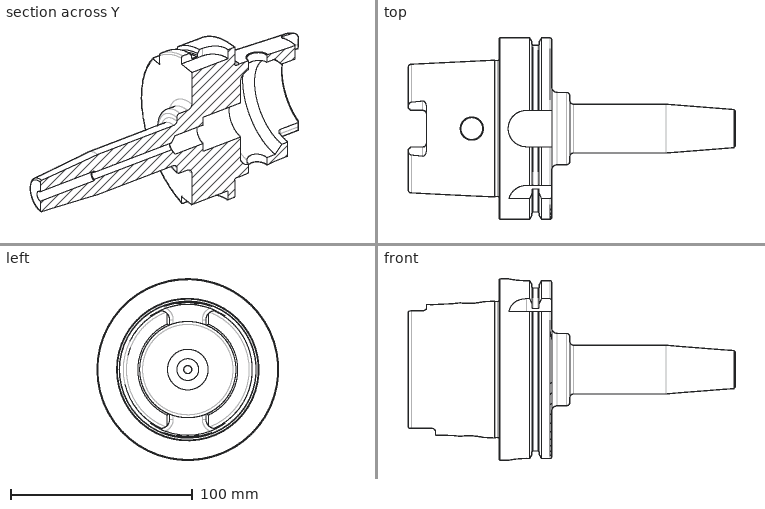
import cadquery as cq
import math


shank_length = 50.0
mouth_radius = 35.4
taper_end_radius = 75.42 / 2
mouth_rounding = 1.7
taper_end_x = -2.6
neck_radius = 37.5
neck_start_x = -1.9
face_recess_radius = 39.2
face_recess_depth = 0.4
neck_root_fillet = 1.3

flange_radius = 50.0
flange_length = 29.0
flange_front_chamfer = 0.5
flange_back_rounding = 1.0
groove_center_x = 20.1
groove_mouth_width = 6.5
groove_floor_width = 4.0
groove_floor_radius = 46.0
groove_floor_fillet = 0.6
groove_flank_angle = 30.0

collar_radius = 20.0
collar_end_x = 39.0
collar_root_fillet = 3.0
collar_rounding = 2.0
stem_radius = 27.0 / 2
stem_root_fillet = 2.0
nose_end_x = 130.0
nose_tip_radius = 21.0 / 2
nose_half_angle = 4.5
nose_chamfer = 0.8

bore_radius = 53.0 / 2
bore_mouth_chamfer = 1.0
bore_end_x = -31.0
clamp_radius = 63.0 / 2
clamp_cone_angle = 48.0
floor_x = -3.6
floor_fillet = 6.6

tube_thread_radius = 22.38 / 2
tube_thread_depth = 25.0
feed_radius = 12.0 / 2
feed_end_x = 40.0
drill_point_half_angle = 59.0
coolant_radius = 4.3 / 2
tool_radius = 6.0 / 2
tool_depth = 36.0

access_hole_diameter = 12.0
access_hole_chamfer = 0.4
access_hole_x = -15.0
key_half_width = 10.0
key_shoulder_height = 32.4
key_shoulder_rounding = 5.0
key_floor_fillet = 2.0
key_mouth_chamfer = 1.4
upper_key_depth = 10.0
lower_key_depth = 15.0
drive_slot_radius = 10.0
drive_slot_center_x = 15.0
drive_slot_floor_height = 44.0
notch_cutter_radius = 10.0
notch_center_x = 15.0
notch_wall_y = -31.3
notch_floor_z = 31.9

clearance = 10.0
edge_margin = 0.1


def arc_middle(center_x, center_radius, radius, x_sign, radial_sign):
    """Middle point of a quarter-circle arc that bulges toward the given signs."""
    offset = radius * math.sqrt(0.5)
    return center_x + x_sign * offset, center_radius + radial_sign * offset


def turned_body():
    """Solid outer shape, revolved about X."""
    mouth_x = -shank_length
    taper_slope = (taper_end_radius - mouth_radius) / (taper_end_x - mouth_x)
    rounding_end_radius = mouth_radius + taper_slope * mouth_rounding
    groove_chamfer = (groove_mouth_width - groove_floor_width) / 2
    groove_wall_radius = flange_radius - groove_chamfer / math.tan(math.radians(groove_flank_angle))
    groove_mouth_start = groove_center_x - groove_mouth_width / 2
    groove_mouth_end = groove_center_x + groove_mouth_width / 2
    groove_floor_start = groove_center_x - groove_floor_width / 2
    groove_floor_end = groove_center_x + groove_floor_width / 2
    nose_slope = math.tan(math.radians(nose_half_angle))
    nose_length = (stem_radius - nose_tip_radius) / nose_slope
    nose_chamfer_radius = nose_tip_radius + nose_slope * nose_chamfer

    mouth_middle = arc_middle(mouth_x + mouth_rounding, rounding_end_radius - mouth_rounding,
                              mouth_rounding, -1, 1)
    groove_fillet_radius = groove_floor_radius + groove_floor_fillet
    groove_left_middle = arc_middle(groove_floor_start + groove_floor_fillet, groove_fillet_radius,
                                    groove_floor_fillet, -1, -1)
    groove_right_middle = arc_middle(groove_floor_end - groove_floor_fillet, groove_fillet_radius,
                                     groove_floor_fillet, 1, -1)
    neck_middle = arc_middle(face_recess_depth - neck_root_fillet, neck_radius + neck_root_fillet,
                             neck_root_fillet, 1, -1)
    back_middle = arc_middle(flange_length - flange_back_rounding, flange_radius - flange_back_rounding,
                             flange_back_rounding, 1, 1)
    root_middle = arc_middle(flange_length + collar_root_fillet, collar_radius + collar_root_fillet,
                             collar_root_fillet, -1, -1)
    collar_middle = arc_middle(collar_end_x - collar_rounding, collar_radius - collar_rounding,
                               collar_rounding, 1, 1)
    stem_middle = arc_middle(collar_end_x + stem_root_fillet, stem_radius + stem_root_fillet,
                             stem_root_fillet, -1, -1)

    profile = (
        cq.Workplane("XY")
        .moveTo(mouth_x, 0)
        .lineTo(mouth_x, rounding_end_radius - mouth_rounding)
        .threePointArc(mouth_middle, (mouth_x + mouth_rounding, rounding_end_radius))
        .lineTo(taper_end_x, taper_end_radius)
        .lineTo(neck_start_x, neck_radius)
        .lineTo(face_recess_depth - neck_root_fillet, neck_radius)
        .threePointArc(neck_middle, (face_recess_depth, neck_radius + neck_root_fillet))
        .lineTo(0, face_recess_radius)
        .lineTo(0, flange_radius - flange_front_chamfer)
        .lineTo(flange_front_chamfer, flange_radius)
        .lineTo(groove_mouth_start, flange_radius)
        .lineTo(groove_floor_start, groove_wall_radius)
        .lineTo(groove_floor_start, groove_floor_radius + groove_floor_fillet)
        .threePointArc(groove_left_middle, (groove_floor_start + groove_floor_fillet, groove_floor_radius))
        .lineTo(groove_floor_end - groove_floor_fillet, groove_floor_radius)
        .threePointArc(groove_right_middle, (groove_floor_end, groove_floor_radius + groove_floor_fillet))
        .lineTo(groove_floor_end, groove_wall_radius)
        .lineTo(groove_mouth_end, flange_radius)
        .lineTo(flange_length - flange_back_rounding, flange_radius)
        .threePointArc(back_middle, (flange_length, flange_radius - flange_back_rounding))
        .lineTo(flange_length, collar_radius + collar_root_fillet)
        .threePointArc(root_middle, (flange_length + collar_root_fillet, collar_radius))
        .lineTo(collar_end_x - collar_rounding, collar_radius)
        .threePointArc(collar_middle, (collar_end_x, collar_radius - collar_rounding))
        .lineTo(collar_end_x, stem_radius + stem_root_fillet)
        .threePointArc(stem_middle, (collar_end_x + stem_root_fillet, stem_radius))
        .lineTo(nose_end_x - nose_length, stem_radius)
        .lineTo(nose_end_x - nose_chamfer, nose_chamfer_radius)
        .lineTo(nose_end_x, nose_tip_radius - nose_chamfer)
        .lineTo(nose_end_x, 0)
        .close()
    )
    return profile.revolve(360, (0, 0, 0), (1, 0, 0))


def inner_cavity():
    """Clamping bore of the shank and the passage through to the tool bore, revolved about X."""
    mouth_x = -shank_length
    clamp_cone_end_x = bore_end_x + (clamp_radius - bore_radius) / math.tan(math.radians(clamp_cone_angle))
    floor_fillet_middle = arc_middle(floor_x - floor_fillet, clamp_radius - floor_fillet, floor_fillet, 1, 1)
    thread_end_x = floor_x + tube_thread_depth
    drill_point_length = (feed_radius - coolant_radius) / math.tan(math.radians(drill_point_half_angle))
    tool_bore_start_x = nose_end_x - tool_depth
    profile = (
        cq.Workplane("XY")
        .moveTo(mouth_x, 0)
        .lineTo(mouth_x, bore_radius + bore_mouth_chamfer)
        .lineTo(mouth_x + bore_mouth_chamfer, bore_radius)
        .lineTo(bore_end_x, bore_radius)
        .lineTo(clamp_cone_end_x, clamp_radius)
        .lineTo(floor_x - floor_fillet, clamp_radius)
        .threePointArc(floor_fillet_middle, (floor_x, clamp_radius - floor_fillet))
        .lineTo(floor_x, tube_thread_radius)
        .lineTo(thread_end_x, tube_thread_radius)
        .lineTo(thread_end_x, feed_radius)
        .lineTo(feed_end_x, feed_radius)
        .lineTo(feed_end_x + drill_point_length, coolant_radius)
        .lineTo(tool_bore_start_x, coolant_radius)
        .lineTo(tool_bore_start_x, tool_radius)
        .lineTo(nose_end_x, tool_radius)
        .lineTo(nose_end_x, 0)
        .close()
    )
    return profile.revolve(360, (0, 0, 0), (1, 0, 0))


def key_slot(depth):
    """Cutter for the key slot across the +Z side of the shank mouth."""
    outside = mouth_radius + clearance
    mouth_x = -shank_length
    floor = mouth_x + depth
    rounded_y = key_half_width + key_shoulder_rounding
    tangent_z = key_shoulder_height - key_shoulder_rounding
    arc_offset = key_shoulder_rounding * math.sqrt(0.5)
    arc_middle_y = rounded_y - arc_offset
    arc_middle_z = tangent_z + arc_offset
    cutter = (
        cq.Workplane("YZ", origin=(mouth_x - clearance, 0, 0))
        .moveTo(-key_half_width, 0)
        .lineTo(-key_half_width, tangent_z)
        .threePointArc((-arc_middle_y, arc_middle_z), (-rounded_y, key_shoulder_height))
        .lineTo(-outside, key_shoulder_height)
        .lineTo(-outside, outside)
        .lineTo(outside, outside)
        .lineTo(outside, key_shoulder_height)
        .lineTo(rounded_y, key_shoulder_height)
        .threePointArc((arc_middle_y, arc_middle_z), (key_half_width, tangent_z))
        .lineTo(key_half_width, 0)
        .close()
        .extrude(depth + clearance)
    )
    floor_walls = cq.selectors.BoxSelector(
        (floor - edge_margin, -rounded_y, edge_margin),
        (floor + edge_margin, rounded_y, key_shoulder_height - edge_margin),
    )
    cutter = cutter.edges(floor_walls).fillet(key_floor_fillet)
    chamfer_half_width = key_half_width + key_mouth_chamfer
    mouth_chamfer = (
        cq.Workplane("XY")
        .moveTo(mouth_x, -chamfer_half_width)
        .lineTo(mouth_x, chamfer_half_width)
        .lineTo(mouth_x + key_mouth_chamfer, key_half_width)
        .lineTo(mouth_x + key_mouth_chamfer, -key_half_width)
        .close()
        .extrude(outside)
    )
    return cutter.union(mouth_chamfer)


def access_hole():
    """Radial hole through both walls of the shank, along Z."""
    return (
        cq.Workplane("XY", origin=(access_hole_x, 0, -flange_radius))
        .circle(access_hole_diameter / 2)
        .extrude(2 * flange_radius)
    )


def chamfer_access_hole(body):
    """Break the two outer rims of the access hole."""
    reach = access_hole_diameter / 2 + access_hole_chamfer
    for side in (-1, 1):
        heights = sorted((side * (clamp_radius + mouth_radius) / 2, side * flange_radius))
        rim = cq.selectors.BoxSelector(
            (access_hole_x - reach, -reach, heights[0]), (access_hole_x + reach, reach, heights[1])
        )
        body = body.edges(rim).chamfer(access_hole_chamfer)
    return body


def drive_slot():
    """Round-ended cutter for the flat-floored drive slot on the +Z side of the flange."""
    return round_ended_cutter(drive_slot_center_x, 0, drive_slot_radius, drive_slot_floor_height)


def orientation_notch():
    """Cutter for the notch on the -Y, +Z side of the flange."""
    center_y = notch_wall_y - notch_cutter_radius
    return round_ended_cutter(notch_center_x, center_y, notch_cutter_radius, notch_floor_z)


def round_ended_cutter(center_x, center_y, radius, floor_z):
    """Slot cutter with a round -X end, open toward +X and +Z."""
    return (
        cq.Workplane("XY", origin=(center_x, center_y, floor_z))
        .moveTo(0, radius)
        .threePointArc((-radius, 0), (0, -radius))
        .lineTo(flange_length, -radius)
        .lineTo(flange_length, radius)
        .close()
        .extrude(flange_radius)
    )


def on_lower_side(cutter):
    """The same cutter turned half a revolution about X."""
    return cutter.rotate((0, 0, 0), (1, 0, 0), 180)


cutters = [
    inner_cavity(),
    key_slot(upper_key_depth),
    on_lower_side(key_slot(lower_key_depth)),
    access_hole(),
    drive_slot(),
    on_lower_side(drive_slot()),
    orientation_notch(),
]

body = turned_body()
for cutter in cutters:
    body = body.cut(cutter)
result = chamfer_access_hole(body)